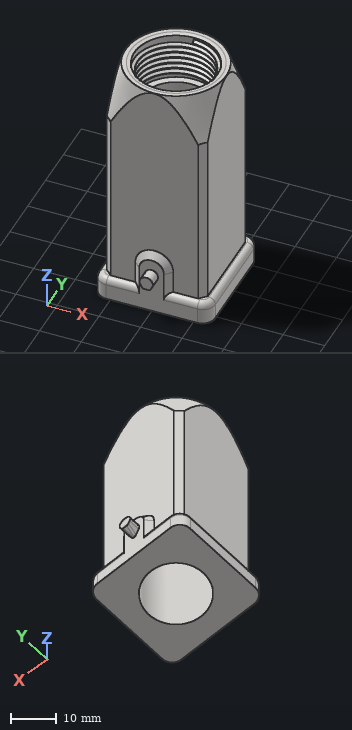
import cadquery as cq
import math

HEIGHT = 60
PIN_SPAN = 33.4

BASE_X = 28.0
BASE_Y = 27.5
BASE_HEIGHT = 5.6
BASE_CORNER = 3.05
BASE_ROUND = 1.55

BODY_WIDTH = 24.3
BODY_CHAMFER = 1.6
CONE_HEIGHT = 11.2
CONE_TOP_RADIUS = 12.1

BORE_DIAMETER = 16.4
THREAD_DIAMETER = 20.0
THREAD_DEPTH = 12
RIM_RADIUS = 11.05
RIM_DEPTH = 0.3

PITCH = 1.5
THREAD_MINOR_DIAMETER = 18.35
RIDGE_ROOT = 1.15
RIDGE_CREST = 0.205
RIDGE_EMBED = 0.2
RIDGE_START_DEPTH = 1.4
RIDGE_TURNS = 6.5

PAD_ROOT_RADIUS = 4.55
PAD_CENTER_Z = 11.2
PIN_DIAMETER = 3.2
PIN_CENTER_Z = 9.9
WEB_HALF_ANGLE = math.radians(28)
WEB_ROOT_Z = 7.25
WEB_TIP_Z = 8.15
WEB_ROUND = 0.6

RIDGE_HEIGHT = (THREAD_DIAMETER - THREAD_MINOR_DIAMETER) / 2
PAD_HEIGHT = (BASE_Y - BODY_WIDTH) / 2


def make_base():
    block = cq.Workplane("XY").box(BASE_X, BASE_Y, BASE_HEIGHT, centered=(True, True, False))
    return block.edges("|Z").fillet(BASE_CORNER).faces(">Z").edges().fillet(BASE_ROUND)


def make_body():
    block = cq.Workplane("XY").box(BODY_WIDTH, BODY_WIDTH, HEIGHT, centered=(True, True, False))
    block = block.edges("|Z").chamfer(BODY_CHAMFER)
    half = BODY_WIDTH / 2
    corner_radius = math.hypot(half, half - BODY_CHAMFER)
    slope = (corner_radius - CONE_TOP_RADIUS) / CONE_HEIGHT
    bottom_radius = CONE_TOP_RADIUS + slope * HEIGHT
    cone = (
        cq.Workplane("XZ")
        .polyline([(0, 0), (bottom_radius, 0), (CONE_TOP_RADIUS, HEIGHT), (0, HEIGHT)])
        .close()
        .revolve(360, (0, 0, 0), (0, 1, 0))
    )
    return block.intersect(cone)


def pad_outline(plane, radius):
    """Arch standing on the bottom plane, drawn in XZ."""
    return (
        plane.moveTo(-radius, 0)
        .lineTo(-radius, PAD_CENTER_Z)
        .threePointArc((0, PAD_CENTER_Z + radius), (radius, PAD_CENTER_Z))
        .lineTo(radius, 0)
        .close()
    )


def make_pad():
    """Pad on the -Y side; its arch narrows at 45 degrees up to the base face."""
    root = pad_outline(cq.Workplane("XZ", origin=(0, -BODY_WIDTH / 2, 0)), PAD_ROOT_RADIUS)
    outer = pad_outline(root.workplane(offset=PAD_HEIGHT), PAD_ROOT_RADIUS - PAD_HEIGHT)
    return outer.loft(ruled=True, combine=True)


def make_pin():
    """Round pin on the -Y side with a tapering, round-edged web below it."""
    radius = PIN_DIAMETER / 2
    root_y = -BASE_Y / 2
    end_y = -PIN_SPAN / 2
    length = root_y - end_y
    side_x = radius * math.cos(WEB_HALF_ANGLE)
    side_z = PIN_CENTER_Z - radius * math.sin(WEB_HALF_ANGLE)
    apex_z = PIN_CENTER_Z - radius / math.sin(WEB_HALF_ANGLE)
    teardrop = (
        cq.Workplane("XZ", origin=(0, root_y, 0))
        .moveTo(0, apex_z)
        .lineTo(side_x, side_z)
        .threePointArc((0, PIN_CENTER_Z + radius), (-side_x, side_z))
        .close()
        .extrude(length)
    )
    top_z = PIN_CENTER_Z + PIN_DIAMETER
    keep = (
        cq.Workplane("YZ")
        .polyline([
            (root_y, WEB_ROOT_Z),
            (end_y, WEB_TIP_Z),
            (end_y, top_z),
            (root_y, top_z),
        ])
        .close()
        .extrude(PIN_DIAMETER, both=True)
    )
    pin = teardrop.intersect(keep)
    return pin.faces("<Z").edges("not |X").fillet(WEB_ROUND)


def make_bore():
    """Through bore, wider threaded entry and flared rim as one revolved cutter."""
    bore_radius = BORE_DIAMETER / 2
    entry_radius = THREAD_DIAMETER / 2
    floor_z = HEIGHT - THREAD_DEPTH
    return (
        cq.Workplane("XZ")
        .polyline([
            (0, 0),
            (bore_radius, 0),
            (bore_radius, floor_z),
            (entry_radius, floor_z),
            (entry_radius, HEIGHT - RIM_DEPTH),
            (RIM_RADIUS, HEIGHT),
            (0, HEIGHT),
        ])
        .close()
        .revolve(360, (0, 0, 0), (0, 1, 0))
    )


def make_thread():
    """Right-handed helical ridge standing inward from the entry wall, starting at +Y."""
    wall_radius = THREAD_DIAMETER / 2
    length = RIDGE_TURNS * PITCH
    flank = (RIDGE_ROOT - RIDGE_CREST) / 2 / RIDGE_HEIGHT
    outer_half = RIDGE_ROOT / 2 + flank * RIDGE_EMBED
    crest_half = RIDGE_CREST / 2
    outer = wall_radius + RIDGE_EMBED
    crest = wall_radius - RIDGE_HEIGHT
    helix = cq.Wire.makeHelix(PITCH, length, wall_radius)
    ridge = (
        cq.Workplane("XZ")
        .polyline([
            (outer, -outer_half),
            (crest, -crest_half),
            (crest, crest_half),
            (outer, outer_half),
        ])
        .close()
        .sweep(cq.Workplane(obj=helix), isFrenet=True)
    )
    turn = 90 - 360 * RIDGE_TURNS
    lower_z = HEIGHT - RIDGE_START_DEPTH - length
    return ridge.rotate((0, 0, 0), (0, 0, 1), turn).translate((0, 0, lower_z))


near_side = make_pad().union(make_pin())
far_side = near_side.mirror("XZ")

result = make_base().union(make_body()).union(near_side).union(far_side)
result = result.cut(make_bore()).union(make_thread())